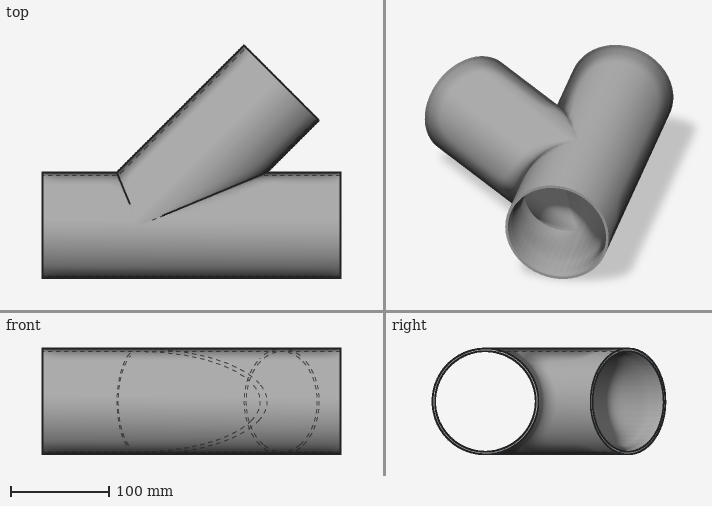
import cadquery as cq
import math

run_length = 303.0
outer_diameter = 108.0
bore_diameter = 102.0
branch_angle = 45.0
branch_position = 98.0
branch_length = 205.0

angle = math.radians(branch_angle)
run_plane = cq.Plane(origin=(-branch_position, 0, 0), xDir=(0, 1, 0), normal=(1, 0, 0))
branch_plane = cq.Plane(
    origin=(0, 0, 0), xDir=(0, 0, 1), normal=(math.cos(angle), math.sin(angle), 0)
)


def wye(diameter):
    """Solid run and branch cylinders of one diameter, joined where their axes cross."""
    radius = diameter / 2
    run = cq.Workplane(run_plane).circle(radius).extrude(run_length)
    branch = cq.Workplane(branch_plane).circle(radius).extrude(branch_length)
    return run.union(branch)


result = wye(outer_diameter).cut(wye(bore_diameter))